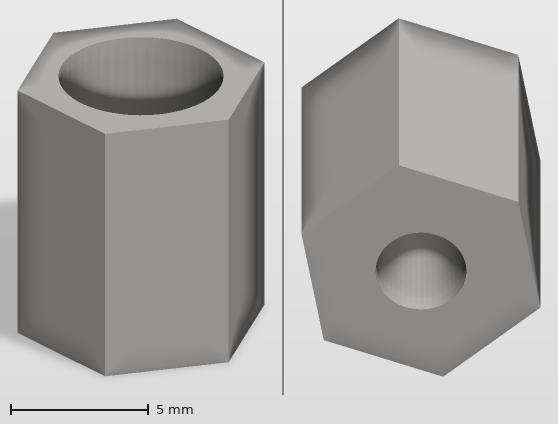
import cadquery as cq
import math

height = 10.0
across_flats = 8.0
through_hole_diameter = 3.3
counterbore_diameter = 6.0
counterbore_depth = height / 2

across_corners = across_flats / math.cos(math.pi / 6)

body = (
    cq.Workplane("XY")
    .polygon(6, across_corners)
    .extrude(height)
    .rotate((0, 0, 0), (0, 0, 1), 90)
)

result = (
    body.faces(">Z")
    .workplane(origin=(0, 0, height))
    .cboreHole(through_hole_diameter, counterbore_diameter, counterbore_depth)
)